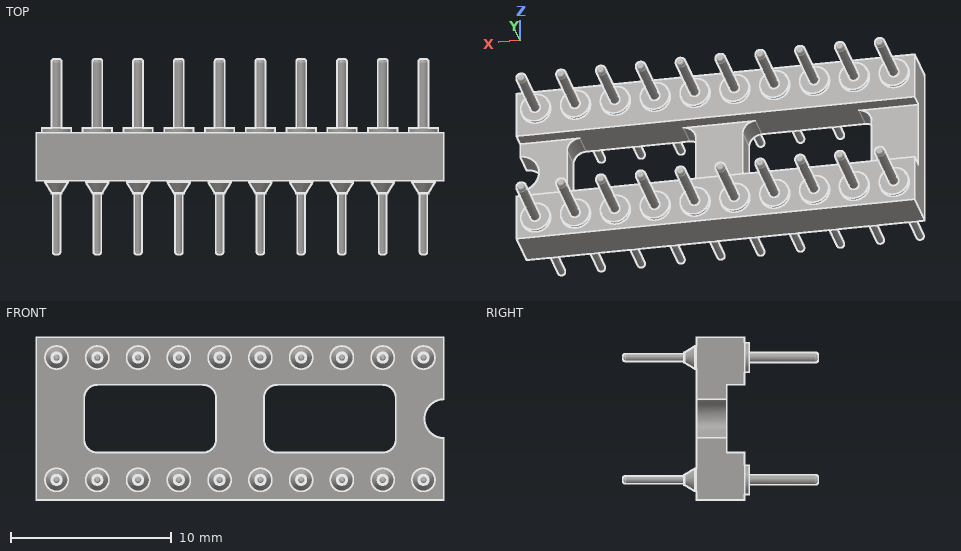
import cadquery as cq
import math


pitch = 2.54
contacts_per_row = 10
row_pitches = 3
row_spacing = row_pitches * pitch

body_length = contacts_per_row * pitch
body_height = row_spacing + pitch
body_thickness = 3.0
channel_height = 4.2
channel_depth = 1.1
notch_radius = 1.2

window_count = 2
window_wall = 3.0
window_length = (body_length - (window_count + 1) * window_wall) / window_count
window_height = channel_height
window_corner_radius = 0.8

pin_reach = 4.6
flange_radius = 0.925
flange_thickness = 0.3
rear_pin_radius = 0.32
front_pin_radius = 0.25
collar_radius = 0.72
collar_length = 0.1
cone_tip_radius = 0.325
cone_end = 0.8
cone_tip_land = 0.06
tip_rounding = 0.18


def make_body():
    """Rectangular block with a lengthwise channel in its rear face."""
    block = cq.Workplane("XY").box(body_length, body_thickness, body_height)
    channel = cq.Workplane("XY").box(body_length, channel_depth, channel_height)
    channel = channel.translate((0, (body_thickness - channel_depth) / 2, 0))
    return block.cut(channel).translate((0, body_thickness / 2, 0))


def make_windows():
    """Cutters for the rounded windows through the body."""
    window_pitch = window_length + window_wall
    return (
        cq.Workplane("XZ")
        .rarray(window_pitch, 1, window_count, 1)
        .rect(window_length, window_height)
        .extrude(-body_thickness)
        .edges("|Y")
        .fillet(window_corner_radius)
    )


def make_notch():
    """Cutter for the half-round orientation notch in the +X end."""
    return cq.Workplane("XZ").center(body_length / 2, 0).circle(notch_radius).extrude(-body_thickness)


def make_pin():
    """One turned contact on the Y axis, running right through the body."""
    front_tip = -pin_reach
    rear_tip = body_thickness + pin_reach
    flange_face = body_thickness + flange_thickness
    round_offset = tip_rounding * (1 - math.sqrt(0.5))
    front_flat_radius = front_pin_radius - tip_rounding
    rear_flat_radius = rear_pin_radius - tip_rounding
    return (
        cq.Workplane("XY")
        .moveTo(0, front_tip)
        .lineTo(front_flat_radius, front_tip)
        .threePointArc(
            (front_pin_radius - round_offset, front_tip + round_offset),
            (front_pin_radius, front_tip + tip_rounding),
        )
        .lineTo(front_pin_radius, -cone_end)
        .lineTo(cone_tip_radius, -cone_end)
        .lineTo(cone_tip_radius, cone_tip_land - cone_end)
        .lineTo(collar_radius, -collar_length)
        .lineTo(collar_radius, body_thickness)
        .lineTo(flange_radius, body_thickness)
        .lineTo(flange_radius, flange_face)
        .lineTo(rear_pin_radius, flange_face)
        .lineTo(rear_pin_radius, rear_tip - tip_rounding)
        .threePointArc(
            (rear_pin_radius - round_offset, rear_tip - round_offset),
            (rear_flat_radius, rear_tip),
        )
        .lineTo(0, rear_tip)
        .close()
        .revolve(360, (0, 0, 0), (0, 1, 0))
    )


def add_pins(body):
    """Fuse both rows of contacts into the body."""
    pin = make_pin().val()
    first_x = -(contacts_per_row - 1) * pitch / 2
    pins = []
    for row_z in (-row_spacing / 2, row_spacing / 2):
        for index in range(contacts_per_row):
            pins.append(pin.translate(cq.Vector(first_x + index * pitch, 0, row_z)))
    return cq.Workplane(body.val().fuse(*pins))


socket_body = make_body().cut(make_windows()).cut(make_notch())
result = add_pins(socket_body)